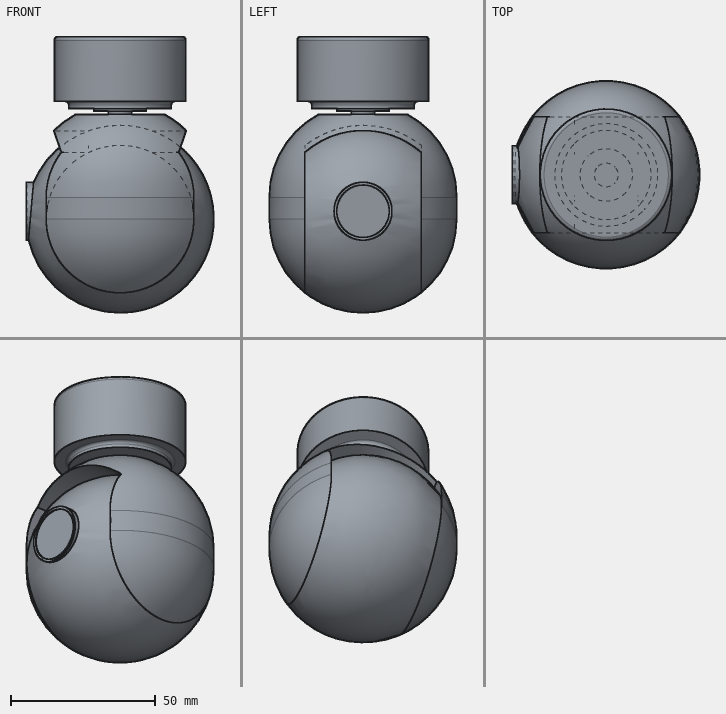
import cadquery as cq
import math

total_height = 95.5
shell_radius = 32.5
shell_straight = 7.5
yoke_top_z = 68.6
ball_z = shell_radius

slot_width = 40.1
slot_top_radius = 30.6

lens_radius = 10.0
lens_z = 35.1
window_radius = 9.1
window_recess = 0.3

cap_radius = 22.7
cap_bottom_z = 73.1
cap_edge_radius = 1.2
collar_radius = 17.8
collar_bottom_z = 70.6
collar_cove_radius = 1.1
plate_radius = 9.1
plate_bottom_z = 69.7
stem_radius = 4.1


def disc(radius, bottom_z, top_z):
    """Cylinder on the Z axis between two heights."""
    return cq.Workplane("XY").workplane(offset=bottom_z).circle(radius).extrude(top_z - bottom_z)


def make_slot_slab():
    """Block as wide as the slot, centred on the origin."""
    return cq.Workplane("XY").box(2 * shell_radius, slot_width, 2 * shell_radius)


def make_slotted_sphere():
    """Sphere trimmed by the two flat cheeks of the slot."""
    return cq.Workplane("XY").sphere(shell_radius).intersect(make_slot_slab()).translate((0, 0, ball_z))


def make_ball():
    """Camera ball with a lens disc facing -X."""
    lens = cq.Workplane("YZ").circle(lens_radius).extrude(-shell_radius).translate((0, 0, lens_z))
    window = (
        cq.Workplane("YZ")
        .workplane(offset=-shell_radius)
        .circle(window_radius)
        .extrude(window_recess)
        .translate((0, 0, lens_z))
    )
    return make_slotted_sphere().union(lens).cut(window)


def make_shell():
    """Solid of revolution: two spherical parts, a straight band and a flat top."""
    upper_z = ball_z + shell_straight
    top_rise = yoke_top_z - upper_z
    top_radius = math.sqrt(shell_radius**2 - top_rise**2)
    diagonal = shell_radius * math.sqrt(0.5)
    upper_angle = math.atan2(top_rise, top_radius) / 2
    upper_middle = (
        shell_radius * math.cos(upper_angle),
        upper_z + shell_radius * math.sin(upper_angle),
    )
    return (
        cq.Workplane("XZ")
        .moveTo(0, 0)
        .threePointArc((diagonal, ball_z - diagonal), (shell_radius, ball_z))
        .lineTo(shell_radius, upper_z)
        .threePointArc(upper_middle, (top_radius, yoke_top_z))
        .lineTo(0, yoke_top_z)
        .close()
        .revolve(360, (0, 0, 0), (0, 1, 0))
    )


def make_side_openings():
    """Slot with a rounded top, running along X through both sides of the yoke."""
    round_bar = cq.Workplane("YZ").circle(slot_top_radius).extrude(shell_radius, both=True)
    return round_bar.intersect(make_slot_slab()).translate((0, 0, ball_z))


def make_mount():
    """Stem, plate, collar and cap stacked on the yoke."""
    stem = disc(stem_radius, yoke_top_z, plate_bottom_z)
    plate = disc(plate_radius, plate_bottom_z, collar_bottom_z)
    cove_start_z = cap_bottom_z - collar_cove_radius
    cove_end_radius = collar_radius + collar_cove_radius
    cove_inset = collar_cove_radius * (1 - math.sqrt(0.5))
    cove_middle = (collar_radius + cove_inset, cap_bottom_z - cove_inset)
    collar = (
        cq.Workplane("XZ")
        .moveTo(0, collar_bottom_z)
        .lineTo(collar_radius, collar_bottom_z)
        .lineTo(collar_radius, cove_start_z)
        .threePointArc(cove_middle, (cove_end_radius, cap_bottom_z))
        .lineTo(0, cap_bottom_z)
        .close()
        .revolve(360, (0, 0, 0), (0, 1, 0))
    )
    cap = disc(cap_radius, cap_bottom_z, total_height).faces(">Z").edges().fillet(cap_edge_radius)
    return stem.union(plate).union(collar).union(cap)


def make_yoke():
    """Two cheeks joined by a bridge over the ball, with the mount on top."""
    yoke = make_shell().cut(make_slotted_sphere()).cut(make_side_openings())
    return yoke.union(make_mount())


ball = make_ball()
yoke = make_yoke()

result = cq.Compound.makeCompound([yoke.val(), ball.val()])